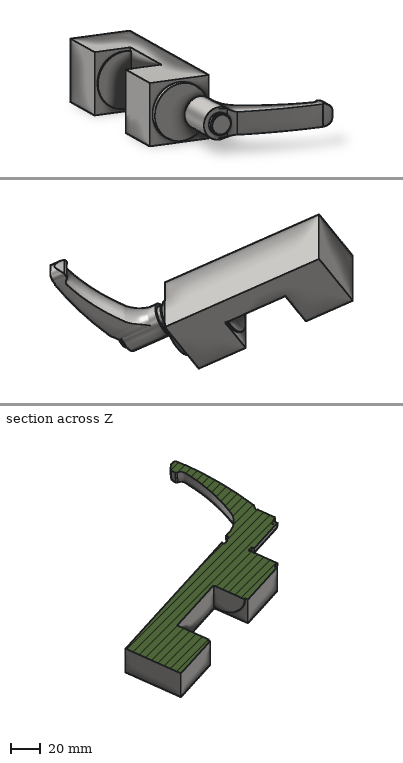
import cadquery as cq
import math

block_length = 120.0
block_size = 44.0
jaw_left = 36.6
jaw_right = 83.4
jaw_roof = 26.6

pad_radius = 20.0
jaw_pad_height = 1.0
end_pad_height = 3.5
pad_y = block_size / 2

hub_y = 33.9
hub_z = -1.0
hub_radius = 11.4
hub_start = 126.7
hub_end = 155.9
collar_radius = 9.3
collar_chamfer = 0.5
cap_radius = 7.6
cap_end = 159.5
cap_chamfer = 0.8

arm_half_width = 8.0
arm_tip_y = 112.7
arm_round_start = 104.9
neck_top = 47.0
neck_bottom = 39.3
blend_start = (132.8, hub_y + hub_radius)
blend_end = (146.0, 52.7)
throat = (162.3, 99.6)
head_left = 159.3
head_right = 169.0
head_base_y = 104.5
arm_right = 169.5

crown_tip_y = arm_tip_y + 0.2
crown_right = arm_right + 1.7


def disc(x_start, x_end, radius, y, z):
    """Cylinder along X."""
    return cq.Workplane("YZ", origin=(x_start, y, z)).circle(radius).extrude(x_end - x_start)


def make_block():
    block = cq.Workplane("XY").box(block_length, block_size, block_size, centered=(False, False, True))
    gap = cq.Workplane("XY").box(jaw_right - jaw_left, jaw_roof, block_size, centered=(False, False, True))
    return block.cut(gap.translate((jaw_left, 0, 0)))


def make_pads():
    left = disc(jaw_left, jaw_left + jaw_pad_height, pad_radius, pad_y, 0)
    right = disc(jaw_right - jaw_pad_height, jaw_right, pad_radius, pad_y, 0)
    end = disc(block_length, block_length + end_pad_height, pad_radius, pad_y, 0)
    return left.union(right).union(end)


def make_pivot():
    collar_start = block_length + end_pad_height
    collar = disc(collar_start, hub_start, collar_radius, hub_y, hub_z).faces("<X").chamfer(collar_chamfer)
    hub = disc(hub_start, hub_end, hub_radius, hub_y, hub_z)
    cap = disc(hub_end, cap_end, cap_radius, hub_y, hub_z).faces(">X").chamfer(cap_chamfer)
    return collar.union(hub).union(cap)


def make_arm():
    outline = (
        cq.Workplane("XY")
        .moveTo(blend_start[0], hub_y)
        .lineTo(blend_start[0], arm_tip_y)
        .lineTo(165.5, arm_tip_y)
        .threePointArc((168.2, 112.2), (head_right, 110.8))
        .lineTo(head_right, head_base_y)
        .lineTo(arm_right, head_base_y)
        .threePointArc((167.5, 76.7), (162.0, neck_top))
        .lineTo(161.3, 44.7)
        .lineTo(156.9, neck_bottom)
        .lineTo(hub_end, hub_y)
        .close()
        .extrude(hub_radius, both=True)
    )

    crown = (
        cq.Workplane("XY")
        .moveTo(blend_start[0], hub_y)
        .lineTo(*blend_start)
        .threePointArc((139.8, 47.5), blend_end)
        .threePointArc((156.9, 76.5), throat)
        .threePointArc((161.8, 103.2), (160.1, 104.7))
        .lineTo(head_left, 105.7)
        .lineTo(head_left, 109.1)
        .threePointArc((162.0, 111.5), (165.5, crown_tip_y))
        .lineTo(crown_right, crown_tip_y)
        .lineTo(crown_right, hub_y)
        .close()
        .revolve(360, (0, hub_y, 0), (1, hub_y, 0))
    )

    neck_half_width = math.sqrt(hub_radius**2 - (neck_bottom - hub_y) ** 2)
    flare_middle = (42.9, 8.3)
    width = (
        cq.Workplane("YZ")
        .moveTo(hub_y, -neck_half_width)
        .lineTo(neck_bottom, -neck_half_width)
        .threePointArc((flare_middle[0], -flare_middle[1]), (neck_top, -arm_half_width))
        .lineTo(arm_round_start, -arm_half_width)
        .threePointArc((arm_tip_y, 0), (arm_round_start, arm_half_width))
        .lineTo(neck_top, arm_half_width)
        .threePointArc(flare_middle, (neck_bottom, neck_half_width))
        .lineTo(hub_y, neck_half_width)
        .close()
        .extrude(crown_right)
    )
    return outline.intersect(crown).intersect(width).translate((0, 0, hub_z))


result = make_block().union(make_pads()).union(make_pivot()).union(make_arm())